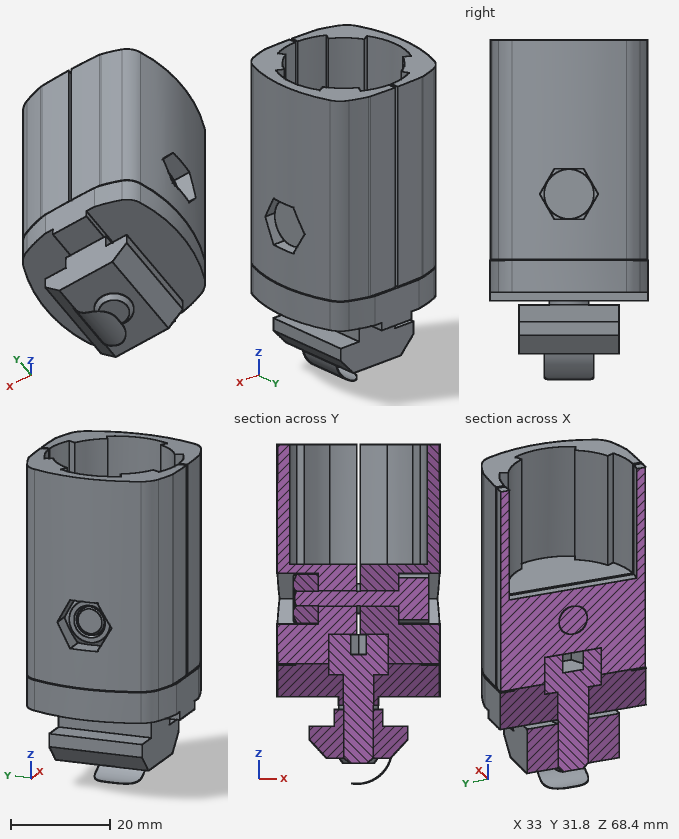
import cadquery as cq
import math


overall_height = 68.4

side_apex = 16.5
side_radius = 30.6
corner_radius = 4.85
base_depth = 31.8
clamp_depth = 31.65
clamp_edge_depth = 31.25
clamp_crown_width = 14.35
crown_edge_radius = 2.05

clamp_height = 44.2
slit_width = 0.6
bore_radius = 14.0
rib_radius = 12.3
rib_angle = 34.0
bore_floor = 20.0

cross_z = 13.1
cross_diameter = 6.0
cross_end_diameter = 5.2
cross_head_diameter = 10.0
cross_head_height = 6.0
cross_length = 21.05
recess_flats = 10.2
recess_floor = 8.15
nut_flats = 10.0
nut_height = 5.0
nut_face_diameter = 8.8
nut_cone_angle = 60.0
nut_countersink = 6.8

base_top = -0.2
base_bottom = -6.6
tongue_width = 8.15
tongue_height = 1.7
pad_diameter = 26.0

mount_diameter = 8.0
mount_end_diameter = 6.2
mount_head_diameter = 13.0
mount_head_top = 5.9
mount_head_height = 8.0
mount_tip_height = 1.15
mount_socket_corners = 6.9
mount_socket_depth = 3.95
mount_protrusion = 1.0

tnut_top = -9.15
tnut_length = 20.2
tnut_neck_width = 9.8
tnut_neck_height = 3.35
tnut_width = 19.8
tnut_straight_height = 2.75
tnut_bottom_width = 12.85
tnut_height = 9.85
tnut_bottom = tnut_top - tnut_height

spring_width = 10.0
spring_thickness = 0.15
spring_bottom = clamp_height - overall_height
spring_end_x = -1.4
spring_end_radius = 4.0
spring_start_x = 6.55
spring_axis_x = -0.3


def outline_prism(bottom, height):
    """Prism with four bulged sides and rounded corners."""
    arc_centre = side_apex - side_radius
    corner = (arc_centre + math.sqrt(2 * side_radius**2 - arc_centre**2)) / 2
    sketch = (
        cq.Workplane("XY")
        .workplane(offset=bottom)
        .moveTo(corner, -corner)
        .threePointArc((side_apex, 0), (corner, corner))
        .threePointArc((0, side_apex), (-corner, corner))
        .threePointArc((-side_apex, 0), (-corner, -corner))
        .threePointArc((0, -side_apex), (corner, -corner))
    )
    return sketch.close().extrude(height).edges("|Z").fillet(corner_radius)


def z_cylinder(diameter, bottom, height):
    """Cylinder on the Z axis."""
    return cq.Workplane("XY").workplane(offset=bottom).circle(diameter / 2).extrude(height)


def x_cylinder(diameter, x_start, length):
    """Cylinder on the clamping screw's axis, running from x_start towards +X."""
    plane = cq.Workplane("YZ", origin=(x_start, 0, cross_z))
    return plane.circle(diameter / 2).extrude(length)


def x_hexagon(flats, x_start, length):
    """Hexagon on the clamping screw's axis, with its corners at +Y and -Y."""
    plane = cq.Workplane(cq.Plane((x_start, 0, cross_z), xDir=(0, 0, 1), normal=(1, 0, 0)))
    return plane.polygon(6, flats, circumscribed=True).extrude(length)


def tube_bore():
    """Round bore with four narrower stretches left as ribs on the diagonals."""
    depth = clamp_height - bore_floor
    floor = cq.Workplane("XY").workplane(offset=bore_floor)
    bore = floor.circle(bore_radius).extrude(depth)
    half = math.radians(rib_angle / 2)
    reach = 2 * bore_radius
    for corner in range(4):
        mid = math.radians(45 + 90 * corner)
        start = (reach * math.cos(mid - half), reach * math.sin(mid - half))
        end = (reach * math.cos(mid + half), reach * math.sin(mid + half))
        rib = floor.polyline([(0, 0), start, end]).close().extrude(depth)
        bore = bore.cut(rib.cut(floor.circle(rib_radius).extrude(depth)))
    return bore


def crowned_slab(height):
    """Slab whose Y sides are shallow arcs, wide enough to trim only the outline's Y sides."""
    half_width = clamp_crown_width / 2
    crown_y = clamp_depth / 2
    rise = (clamp_depth - clamp_edge_depth) / 2
    arc_radius = (half_width**2 + rise**2) / (2 * rise)
    edge_y = crown_y - arc_radius + math.sqrt(arc_radius**2 - side_apex**2)
    return (
        cq.Workplane("XY")
        .moveTo(side_apex, -edge_y)
        .lineTo(side_apex, edge_y)
        .threePointArc((0, crown_y), (-side_apex, edge_y))
        .lineTo(-side_apex, -edge_y)
        .threePointArc((0, -crown_y), (side_apex, -edge_y))
        .close()
        .extrude(height)
    )


def clamp_body():
    """Both clamp halves before the slit separates them."""
    body = outline_prism(0, clamp_height).intersect(crowned_slab(clamp_height))
    crown_edges = body.edges("|Z").edges(
        cq.selectors.BoxSelector(
            (-clamp_crown_width / 2 - crown_edge_radius, -side_apex, 0),
            (clamp_crown_width / 2 + crown_edge_radius, side_apex, clamp_height),
        )
    )
    body = crown_edges.fillet(crown_edge_radius)
    body = body.cut(tube_bore())
    body = body.cut(z_cylinder(mount_head_diameter, 0, mount_head_top))
    body = body.cut(x_cylinder(cross_diameter, -side_apex, 2 * side_apex))
    recess_depth = side_apex - recess_floor
    body = body.cut(x_hexagon(recess_flats, -side_apex, recess_depth))
    return body.cut(x_hexagon(recess_flats, recess_floor, recess_depth))


def clamp_half(body, side):
    """The half of the clamp on the +X side (side = 1) or the -X side (side = -1)."""
    keep = cq.Workplane("XY").box(side_apex, 3 * side_apex, 3 * clamp_height)
    return body.intersect(keep.translate((side * (slit_width + side_apex) / 2, 0, 0)))


def base_plate():
    """Base with a raised pad for the clamp, a tongue below and a seat for the mounting screw."""
    plate = outline_prism(base_bottom, base_top - base_bottom)
    trim = cq.Workplane("XY").box(2 * side_apex, base_depth, -2 * base_bottom)
    plate = plate.intersect(trim)
    pad = z_cylinder(pad_diameter, base_top, -base_top)
    tongue = cq.Workplane("XY").workplane(offset=base_bottom).rect(tongue_width, base_depth)
    plate = plate.union(pad).union(tongue.extrude(-tongue_height))
    head_seat = z_cylinder(mount_head_diameter, mount_head_top - mount_head_height, mount_head_height)
    return plate.cut(head_seat).cut(z_cylinder(mount_diameter, tnut_top, -tnut_top))


def mounting_screw():
    """Socket head screw with a tapered tip."""
    head_bottom = mount_head_top - mount_head_height
    tip = tnut_bottom - mount_protrusion
    profile = [
        (0, mount_head_top),
        (mount_head_diameter / 2, mount_head_top),
        (mount_head_diameter / 2, head_bottom),
        (mount_diameter / 2, head_bottom),
        (mount_diameter / 2, tip + mount_tip_height),
        (mount_end_diameter / 2, tip),
        (0, tip),
    ]
    screw = cq.Workplane("XZ").polyline(profile).close().revolve(360, (0, 0, 0), (0, 1, 0))
    socket_plane = cq.Workplane(cq.Plane((0, 0, mount_head_top), xDir=(0, 1, 0), normal=(0, 0, 1)))
    return screw.cut(socket_plane.polygon(6, mount_socket_corners).extrude(-mount_socket_depth))


def t_nut():
    """Slot nut with a narrow neck and a wide foot tapering below, extruded along Y."""
    shoulder = tnut_top - tnut_neck_height
    right_side = [
        (tnut_neck_width / 2, tnut_top),
        (tnut_neck_width / 2, shoulder),
        (tnut_width / 2, shoulder),
        (tnut_width / 2, shoulder - tnut_straight_height),
        (tnut_bottom_width / 2, tnut_bottom),
    ]
    left_side = [(-x, z) for x, z in reversed(right_side)]
    nut = cq.Workplane("XZ").polyline(right_side + left_side).close().extrude(tnut_length / 2, both=True)
    return nut.cut(z_cylinder(mount_diameter, tnut_bottom, tnut_height))


def leaf_spring():
    """Strip bent to an arc, running from beside the T-nut's lower edge, with a rounded free end."""
    drop = tnut_bottom - spring_bottom
    reach = spring_start_x - spring_axis_x
    radius = (reach**2 + drop**2) / (2 * drop)
    ring = cq.Workplane("XZ", origin=(spring_axis_x, 0, spring_bottom + radius))
    ring = ring.circle(radius).circle(radius - spring_thickness).extrude(spring_width / 2, both=True)
    length = spring_start_x - spring_end_x
    strip = cq.Workplane("XY", origin=(spring_end_x + length / 2, 0, spring_bottom))
    strip = strip.rect(length, spring_width).extrude(drop)
    strip = strip.edges("|Z and <X").fillet(spring_end_radius)
    return ring.intersect(strip)


def clamping_screw():
    """Screw with a cylindrical head in the +X recess and its chamfered end in the nut."""
    shank = x_cylinder(cross_diameter, recess_floor - cross_length, cross_length)
    shank = shank.faces("<X").chamfer((cross_diameter - cross_end_diameter) / 2)
    return shank.union(x_cylinder(cross_head_diameter, recess_floor, cross_head_height))


def hex_nut():
    """Nut chamfered on its outer face, with a countersunk bore."""
    face_x = -recess_floor - nut_height
    nut = x_hexagon(nut_flats, face_x, nut_height)
    cone_slope = math.tan(math.radians(nut_cone_angle))
    cone_end = nut_face_diameter / 2 + nut_height * cone_slope
    cone = cq.Workplane(cq.Solid.makeCone(
        nut_face_diameter / 2, cone_end, nut_height,
        cq.Vector(face_x, 0, cross_z), cq.Vector(1, 0, 0),
    ))
    nut = nut.intersect(cone)
    nut = nut.cut(x_cylinder(cross_diameter, face_x, nut_height))
    rim = nut.faces("<X").edges("%CIRCLE").edges(cq.selectors.RadiusNthSelector(0))
    return rim.chamfer((nut_countersink - cross_diameter) / 2)


clamp = clamp_body()
clamp_halves = [clamp_half(clamp, side) for side in (-1, 1)]
base = base_plate()
mount_screw = mounting_screw()
slot_nut = t_nut()
spring = leaf_spring()
cross_screw = clamping_screw()
cross_nut = hex_nut()

result = cq.Compound.makeCompound([
    *[half.val() for half in clamp_halves],
    base.val(),
    mount_screw.val(),
    slot_nut.val(),
    spring.val(),
    cross_screw.val(),
    cross_nut.val(),
])